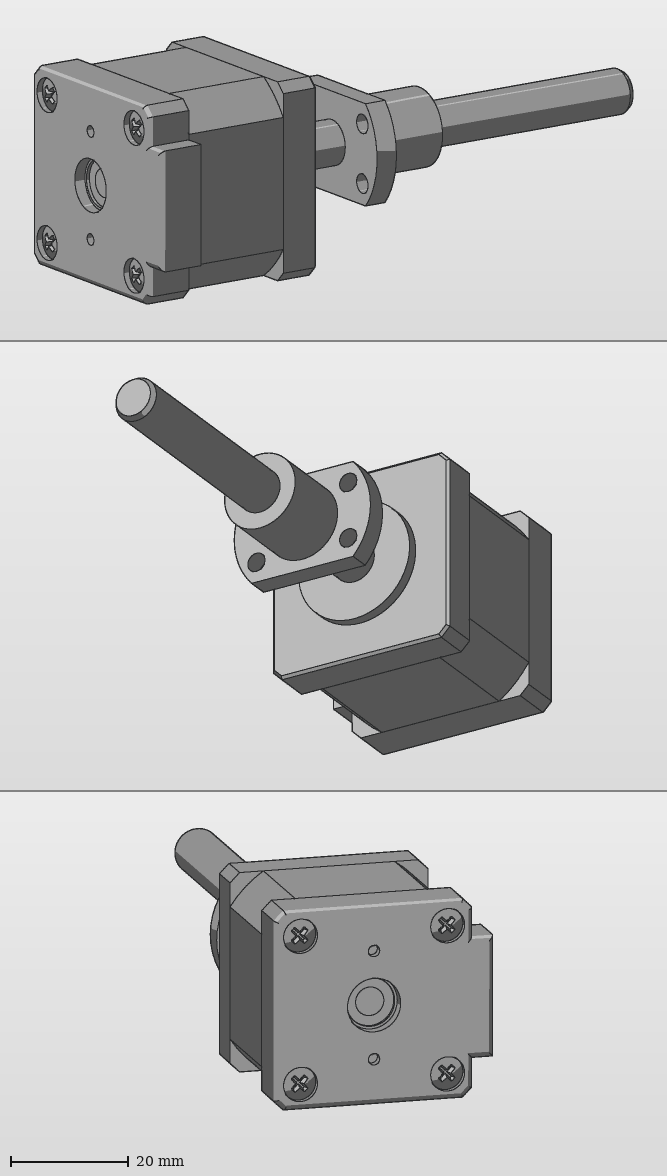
import cadquery as cq
import math


motor_size = 35.0
half_size = motor_size / 2
corner_chamfer = 1.7
front_plate_length = 7.0
front_rim_chamfer = 0.5
pilot_diameter = 22.0
pilot_height = 2.0
stator_length = 19.5
stator_corner_radius = 21.0
rear_cover_length = 8.2
rear_rim_fillet = 1.0

tab_reach = 3.7
tab_width = 21.3

recess_diameter = 9.4
recess_depth = 2.1
inner_recess_diameter = 8.5
inner_recess_depth = 2.7
drill_diameter = 2.0
drill_offset = 9.5
drill_depth = 1.5
drill_point_angle = 118.0

screw_pitch = 26.0
screw_head_diameter = 6.0
screw_head_height = 2.0
screw_head_sink = 0.3
screw_head_edge = 1.2
screw_shank_diameter = 3.0
screw_front_engagement = 2.5
cross_length = 3.4
cross_width = 1.0
cross_depth = 1.2
cross_taper = 15.0
cross_angle = 45.0

screw_diameter = 8.0
screw_reach = 74.9
screw_tip_chamfer_length = 1.0
screw_tip_chamfer_radial = 0.6
journal_diameter = 5.0
flange_start = 15.1
flange_thickness = 4.0
flange_diameter = 27.0
flange_height = 18.0
nut_diameter = 14.0
nut_barrel_length = 14.0
flange_hole_diameter = 3.4
flange_hole_circle = 21.0
flange_hole_angle = 30.0

stator_front = -front_plate_length
stator_rear = stator_front - stator_length
rear_face = stator_rear - rear_cover_length
journal_end = rear_face + inner_recess_depth
head_top = rear_face + screw_head_sink
head_seat = head_top + screw_head_height
shank_end = stator_front + screw_front_engagement

screw_places = [
    (x * screw_pitch / 2, z * screw_pitch / 2) for x in (-1, 1) for z in (-1, 1)
]


def section_plane(y):
    """Plane across the screw axis whose local axes are X and Z; it extrudes towards -Y."""
    return cq.Workplane("XZ", origin=(0, y, 0))


def cylinder(diameter, start, end, x=0, z=0):
    """Cylinder along Y between two stations, the first one further towards +Y."""
    return section_plane(start).center(x, z).circle(diameter / 2).extrude(start - end)


def chamfered_block(start, length):
    """Square block along the motor axis with its four long edges chamfered."""
    block = section_plane(start).rect(motor_size, motor_size).extrude(length)
    return block.edges("|Y").chamfer(corner_chamfer)


def cut_screw_shanks(body):
    for x, z in screw_places:
        body = body.cut(cylinder(screw_shank_diameter, shank_end, rear_face, x, z))
    return body


def make_front_plate():
    plate = chamfered_block(0, front_plate_length)
    plate = plate.faces(">Y").edges().chamfer(front_rim_chamfer)
    plate = plate.union(cylinder(pilot_diameter, pilot_height, -front_plate_length / 2))
    plate = plate.cut(cylinder(screw_diameter, pilot_height, stator_front))
    return cut_screw_shanks(plate)


def make_stator():
    block = section_plane(stator_front).rect(motor_size, motor_size).extrude(stator_length)
    stator = block.intersect(cylinder(2 * stator_corner_radius, stator_front, stator_rear))
    stator = stator.cut(cylinder(screw_diameter, stator_front, stator_rear))
    return cut_screw_shanks(stator)


def drilled_hole(z):
    """Blind hole in the rear face with a conical drill point."""
    radius = drill_diameter / 2
    point_length = radius / math.tan(math.radians(drill_point_angle / 2))
    shoulder = rear_face + drill_depth
    profile = cq.Workplane("XY").polyline([
        (0, rear_face),
        (radius, rear_face),
        (radius, shoulder),
        (0, shoulder + point_length),
    ]).close()
    return profile.revolve(360, (0, 0, 0), (0, 1, 0)).translate((0, 0, z))


def make_rear_cover():
    tab_length = half_size + tab_reach
    tab = section_plane(stator_rear).center(tab_length / 2, 0).rect(tab_length, tab_width)
    cover = chamfered_block(stator_rear, rear_cover_length).union(tab.extrude(rear_cover_length))
    cover = cover.faces("<Y").edges().fillet(rear_rim_fillet)
    cover = cover.cut(cylinder(recess_diameter, rear_face + recess_depth, rear_face))
    cover = cover.cut(cylinder(inner_recess_diameter, journal_end, rear_face))
    cover = cover.cut(cylinder(journal_diameter, stator_rear, rear_face))
    for z in (-drill_offset, drill_offset):
        cover = cover.cut(drilled_hole(z))
    for x, z in screw_places:
        cover = cover.cut(cylinder(screw_head_diameter, head_seat, rear_face, x, z))
    return cut_screw_shanks(cover)


def make_assembly_screw(x, z):
    """Dome-headed screw with a tapered cross recess, sunk into the rear cover."""
    radius = screw_head_diameter / 2
    shank_radius = screw_shank_diameter / 2
    rim = head_seat - screw_head_edge
    dome_rise = rim - head_top
    dome_radius = (radius**2 + dome_rise**2) / (2 * dome_rise)
    half_way = radius / 2
    dome_mid = head_top + dome_radius - math.sqrt(dome_radius**2 - half_way**2)
    profile = (
        cq.Workplane("XY")
        .moveTo(0, head_top)
        .threePointArc((half_way, dome_mid), (radius, rim))
        .lineTo(radius, head_seat)
        .lineTo(shank_radius, head_seat)
        .lineTo(shank_radius, shank_end)
        .lineTo(0, shank_end)
        .close()
    )
    screw = profile.revolve(360, (0, 0, 0), (0, 1, 0))
    for angle in (cross_angle, cross_angle + 90):
        slot = section_plane(head_top).rect(cross_length, cross_width)
        slot = slot.extrude(-cross_depth, taper=cross_taper)
        screw = screw.cut(slot.rotate((0, 0, 0), (0, 1, 0), angle))
    return screw.translate((x, 0, z))


def make_nut():
    """Flanged nut: a round flange with two flats, four holes and a plain barrel."""
    flange_end = flange_start + flange_thickness
    flange = cylinder(flange_diameter, flange_end, flange_start)
    flats = section_plane(flange_end).rect(flange_diameter, flange_height)
    flange = flange.intersect(flats.extrude(flange_thickness))
    hole_x = flange_hole_circle / 2 * math.cos(math.radians(flange_hole_angle))
    hole_z = flange_hole_circle / 2 * math.sin(math.radians(flange_hole_angle))
    for x in (-hole_x, hole_x):
        for z in (-hole_z, hole_z):
            flange = flange.cut(cylinder(flange_hole_diameter, flange_end, flange_start, x, z))
    barrel = cylinder(nut_diameter, flange_end + nut_barrel_length, flange_end)
    return flange.union(barrel)


def make_lead_screw():
    """Lead screw carrying its nut, with a thinner journal in the rear cover."""
    radius = screw_diameter / 2
    journal_radius = journal_diameter / 2
    profile = cq.Workplane("XY").polyline([
        (0, journal_end),
        (journal_radius, journal_end),
        (journal_radius, stator_rear),
        (radius, stator_rear),
        (radius, screw_reach - screw_tip_chamfer_length),
        (radius - screw_tip_chamfer_radial, screw_reach),
        (0, screw_reach),
    ]).close()
    return profile.revolve(360, (0, 0, 0), (0, 1, 0)).union(make_nut())


front_plate = make_front_plate()
stator = make_stator()
rear_cover = make_rear_cover()
lead_screw = make_lead_screw()
assembly_screws = [make_assembly_screw(x, z) for x, z in screw_places]

result = cq.Compound.makeCompound([
    front_plate.val(),
    stator.val(),
    rear_cover.val(),
    lead_screw.val(),
    *[screw.val() for screw in assembly_screws],
])